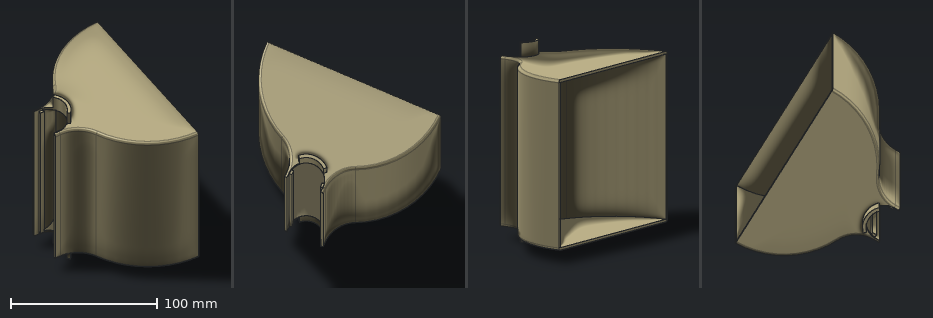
import cadquery as cq
import math

body_radius = 65.5
body_height = 119.0
wall = 2.0
edge_round = 2.0
pipe_radius = 12.6
pipe_center_y = -80.0
lip_length = 3.9
tab_height = 10.0
tab_thickness = 2.5
tab_half_angle = math.radians(45)
rail_width = 2.0
rail_depth = 3.2
rail_back_y = -77.0

lip_outer_x = pipe_radius + wall
lip_tip_y = pipe_center_y - lip_length
half_height = body_height / 2
cavity_height = body_height - 2 * wall
neck_radius = (lip_outer_x**2 + pipe_center_y**2 - body_radius**2) / (2 * (body_radius - lip_outer_x))
neck_center_x = lip_outer_x + neck_radius
neck_angle = math.atan2(-pipe_center_y, neck_center_x)


def bell_prism(inset, height):
    """Bell-shaped prism, offset inward from the outer outline and centred on Z = 0."""
    radius = body_radius - inset
    neck = neck_radius + inset
    lip_x = lip_outer_x - inset

    def body_point(angle):
        return radius * math.cos(angle), -radius * math.sin(angle)

    def neck_point(angle):
        return neck_center_x - neck * math.cos(angle), pipe_center_y + neck * math.sin(angle)

    joint = body_point(neck_angle)
    body_mid = body_point(neck_angle / 2)
    neck_mid = neck_point(neck_angle / 2)
    return (
        cq.Workplane("XY", origin=(0, 0, -height / 2))
        .moveTo(radius, 0)
        .threePointArc(body_mid, joint)
        .threePointArc(neck_mid, (lip_x, pipe_center_y))
        .lineTo(lip_x, lip_tip_y)
        .lineTo(-lip_x, lip_tip_y)
        .lineTo(-lip_x, pipe_center_y)
        .threePointArc((-neck_mid[0], neck_mid[1]), (-joint[0], joint[1]))
        .threePointArc((-body_mid[0], body_mid[1]), (-radius, 0))
        .close()
        .extrude(height)
    )


def shell():
    """Hollow body, open at the back and between the lips."""
    block = bell_prism(0, body_height)
    rims = block.faces("|Z").edges("not(|X)")
    body = rims.fillet(edge_round).cut(bell_prism(wall, cavity_height))
    recess = (
        cq.Workplane("XY")
        .center(0, pipe_center_y)
        .circle(pipe_radius)
        .extrude(half_height, both=True)
    )
    lip_gap = cq.Workplane("XY").box(2 * pipe_radius, lip_length, body_height)
    lip_gap = lip_gap.translate((0, pipe_center_y - lip_length / 2, 0))
    return body.cut(recess).cut(lip_gap)


def tab(base_z):
    """Curved tab along the recess, rooted in an end plate."""
    outer_radius = pipe_radius + tab_thickness
    side = math.sin(tab_half_angle)
    rise = math.cos(tab_half_angle)
    return (
        cq.Workplane("XY", origin=(0, pipe_center_y, base_z))
        .moveTo(-pipe_radius * side, pipe_radius * rise)
        .threePointArc((0, pipe_radius), (pipe_radius * side, pipe_radius * rise))
        .lineTo(outer_radius * side, outer_radius * rise)
        .threePointArc((0, outer_radius), (-outer_radius * side, outer_radius * rise))
        .close()
        .extrude(tab_height + wall)
    )


def rail(side):
    """Rail on the inner face of one lip, between the end plates; side is -1 or 1."""
    inner_x = pipe_radius - rail_width
    outer_x = pipe_radius + wall / 2
    bar = cq.Workplane("XY").box(outer_x - inner_x, rail_depth, cavity_height)
    return bar.translate((side * (inner_x + outer_x) / 2, rail_back_y - rail_depth / 2, 0))


result = shell()
for tab_base_z in (half_height - wall, -half_height - tab_height):
    result = result.union(tab(tab_base_z))
for lip_side in (-1, 1):
    result = result.union(rail(lip_side))